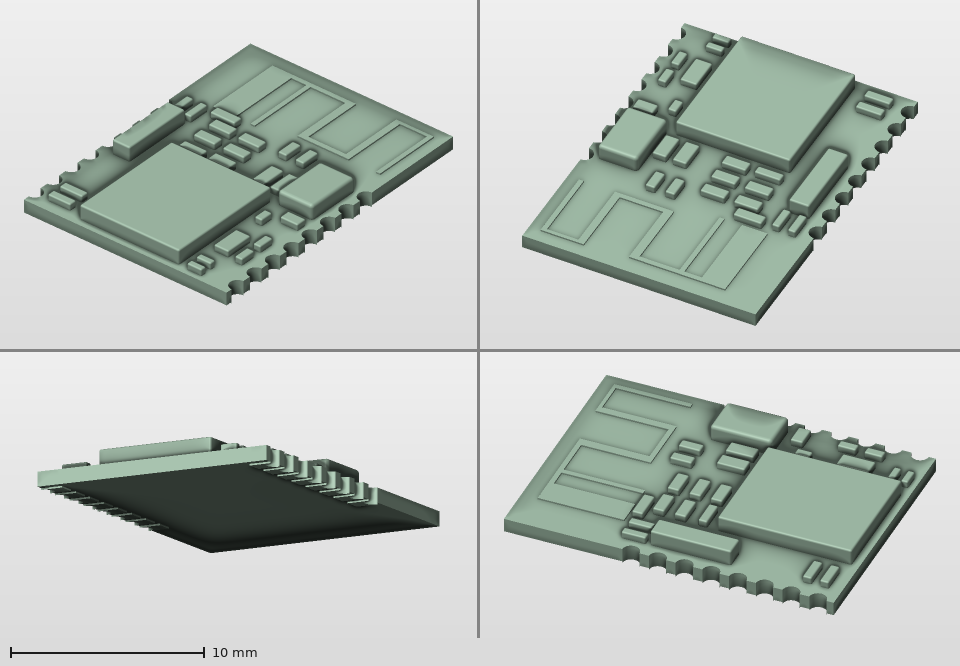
import cadquery as cq


BOARD_WIDTH = 13.5
BOARD_LENGTH = 18.5
BOARD_THICKNESS = 0.8

NOTCH_COUNT = 8
NOTCH_PITCH = 1.5
NOTCH_RADIUS = 0.48
FIRST_NOTCH_Y = 0.89
PAD_LENGTH = 1.22
PAD_WIDTH = 2 * NOTCH_RADIUS
COPPER_THICKNESS = 0.1

ANTENNA_LEFT = -4.51
ANTENNA_FOOT_Y = 12.71
FEED_WIDTH = 1.48
STUB_LEFT = -2.02
TRACE_WIDTH = 0.28
ARM_TOP_Y = 17.55
ARM_DROP_LEFT = 0.57
ARM_DROP_RIGHT = 1.05
LOOP_BOTTOM_Y = 13.38
RISE_LEFT = 3.57
RISE_RIGHT = 3.98
HOOK_TOP_Y = 17.76
HOOK_WIDTH = 0.2
ANTENNA_RIGHT = 6.07

TALL_HEIGHT = 0.9
LOW_HEIGHT = 0.4
PACKAGE_FILLET = 0.11
CRYSTAL_FILLET = 0.2
LOW_FILLET = 0.1

PROCESSOR_SIZE = (6.62, 7.51)
PROCESSOR_CENTRE = (-0.07, 4.18)
BAR_SIZE = (1.17, 4.53)
BAR_CENTRE = (-5.3, 8.4)
CRYSTAL_SIZE = (2.31, 3.48)
CRYSTAL_CENTRE = (4.85, 9.65)

LOW_CHIPS = [
    ((1.4, 0.65), [(-2.68, 11.27), (-0.74, 11.27), (-2.68, 10.05), (-0.74, 10.05), (-0.74, 8.85)]),
    ((1.5, 0.5), [(-2.63, 8.79), (-5.0, 1.92), (-5.0, 0.96)]),
    ((1.63, 0.61), [(-3.22, 12.17)]),
    ((0.45, 1.37), [(-5.68, 11.6), (-4.75, 11.6)]),
    ((0.55, 1.22), [(1.25, 11.88), (2.4, 11.88)]),
    ((0.8, 1.57), [(1.92, 9.3), (3.09, 9.3)]),
    ((1.17, 0.68), [(5.44, 7.03)]),
    ((0.48, 0.85), [(4.07, 6.29)]),
    ((0.48, 1.02), [(5.57, 4.42), (5.57, 2.92)]),
    ((0.96, 1.83), [(4.31, 3.46)]),
    ((0.96, 0.39), [(4.31, 1.3), (4.31, 0.54)]),
]

NOTCH_CENTRES = [
    (side * BOARD_WIDTH / 2, FIRST_NOTCH_Y + index * NOTCH_PITCH)
    for side in (-1, 1)
    for index in range(NOTCH_COUNT)
]


def board():
    """Plain board with its front edge on Y = 0."""
    return cq.Workplane("XY").box(
        BOARD_WIDTH, BOARD_LENGTH, BOARD_THICKNESS, centered=(True, False, False)
    )


def solder_pads():
    """One pad inward from the board edge below each castellation."""
    inset = BOARD_WIDTH / 2 - PAD_LENGTH / 2
    centres = [(inset if x > 0 else -inset, y) for x, y in NOTCH_CENTRES]
    return (
        cq.Workplane("XY")
        .pushPoints(centres)
        .rect(PAD_LENGTH, PAD_WIDTH)
        .extrude(-COPPER_THICKNESS)
    )


def castellations():
    """Cutters for the half-round notches, through the board and its pads."""
    return (
        cq.Workplane("XY", origin=(0, 0, -COPPER_THICKNESS))
        .pushPoints(NOTCH_CENTRES)
        .circle(NOTCH_RADIUS)
        .extrude(BOARD_THICKNESS + COPPER_THICKNESS)
    )


def antenna():
    """Meandering trace: wide feed, thin stub, one dip and a hooked end."""
    arm_underside_y = ARM_TOP_Y - TRACE_WIDTH
    outline = [
        (ANTENNA_LEFT, ANTENNA_FOOT_Y),
        (ANTENNA_LEFT, ARM_TOP_Y),
        (ARM_DROP_RIGHT, ARM_TOP_Y),
        (ARM_DROP_RIGHT, LOOP_BOTTOM_Y + TRACE_WIDTH),
        (RISE_LEFT, LOOP_BOTTOM_Y + TRACE_WIDTH),
        (RISE_LEFT, HOOK_TOP_Y),
        (ANTENNA_RIGHT, HOOK_TOP_Y),
        (ANTENNA_RIGHT, LOOP_BOTTOM_Y),
        (ANTENNA_RIGHT - TRACE_WIDTH, LOOP_BOTTOM_Y),
        (ANTENNA_RIGHT - TRACE_WIDTH, HOOK_TOP_Y - HOOK_WIDTH),
        (RISE_RIGHT, HOOK_TOP_Y - HOOK_WIDTH),
        (RISE_RIGHT, LOOP_BOTTOM_Y),
        (ARM_DROP_LEFT, LOOP_BOTTOM_Y),
        (ARM_DROP_LEFT, arm_underside_y),
        (STUB_LEFT + TRACE_WIDTH, arm_underside_y),
        (STUB_LEFT + TRACE_WIDTH, ANTENNA_FOOT_Y),
        (STUB_LEFT, ANTENNA_FOOT_Y),
        (STUB_LEFT, arm_underside_y),
        (ANTENNA_LEFT + FEED_WIDTH, arm_underside_y),
        (ANTENNA_LEFT + FEED_WIDTH, ANTENNA_FOOT_Y),
    ]
    return (
        cq.Workplane("XY", origin=(0, 0, BOARD_THICKNESS))
        .polyline(outline)
        .close()
        .extrude(COPPER_THICKNESS)
    )


def package(size, centre, height, fillet):
    """Block standing on the board, rounded on its upright and top edges."""
    return (
        cq.Workplane("XY", origin=(*centre, BOARD_THICKNESS))
        .box(*size, height, centered=(True, True, False))
        .edges("|Z or >Z")
        .fillet(fillet)
    )


result = board().union(solder_pads()).cut(castellations()).union(antenna())
result = result.union(package(PROCESSOR_SIZE, PROCESSOR_CENTRE, TALL_HEIGHT, PACKAGE_FILLET))
result = result.union(package(BAR_SIZE, BAR_CENTRE, TALL_HEIGHT, PACKAGE_FILLET))
result = result.union(package(CRYSTAL_SIZE, CRYSTAL_CENTRE, TALL_HEIGHT, CRYSTAL_FILLET))
for chip_size, chip_centres in LOW_CHIPS:
    for chip_centre in chip_centres:
        result = result.union(package(chip_size, chip_centre, LOW_HEIGHT, LOW_FILLET))